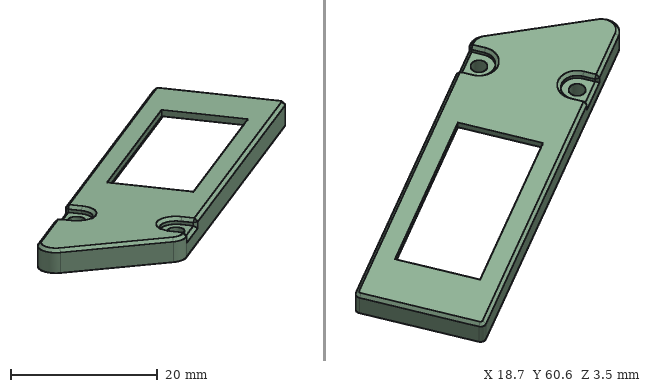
import cadquery as cq
import math

width = 18.7
length = 60.6
thickness = 3.5
slant_angle = math.radians(30)
lower_corner_radius = 2.5
upper_corner_radius = 0.8
edge_chamfer = 0.5

window_width = 12.25
window_height = 27.2
window_left = 3.3
window_top_margin = 8.05

lip_thickness = 0.95
recess_wall = 1.75

hole_diameter = 2.3
hole_inset = 2.3
hole_y = 13.45
seat_radius = 2.25
seat_depth = 0.95


def make_plate():
    """Plate with a slanted lower end and rounded corners."""
    sharp_low_y = lower_corner_radius * (1 - math.tan(slant_angle) - 1 / math.cos(slant_angle))
    sharp_right_y = sharp_low_y + width * math.tan(slant_angle)
    outline = [(0, sharp_low_y), (width, sharp_right_y), (width, length), (0, length)]
    plate = cq.Workplane("XY").polyline(outline).close().extrude(thickness)
    plate = plate.edges("|Z and (not >Y)").fillet(lower_corner_radius)
    return plate.faces(">Y").edges("|Z").fillet(upper_corner_radius)


def make_seat(hole_x, side_x):
    """U-shaped pocket running from the screw hole out to a side at side_x."""
    floor_plane = cq.Workplane("XY").workplane(offset=thickness - seat_depth)
    round_end = floor_plane.center(hole_x, hole_y).circle(seat_radius).extrude(seat_depth)
    outlet = (
        floor_plane.center((hole_x + side_x) / 2, hole_y)
        .rect(abs(hole_x - side_x), 2 * seat_radius)
        .extrude(seat_depth)
    )
    return round_end.union(outlet)


plate = make_plate()
seats = [(hole_inset, 0), (width - hole_inset, width)]
for hole_x, side_x in seats:
    plate = plate.cut(make_seat(hole_x, side_x))

clearance = 0.05
outlet_edges = cq.selectors.BoxSelector(
    (-clearance, hole_y - seat_radius - clearance, thickness - seat_depth - clearance),
    (width + clearance, hole_y + seat_radius + clearance, thickness - clearance),
)
rim = plate.faces(">Z").edges()
outlets = plate.faces("<X or >X").edges(outlet_edges)
plate = rim.add(outlets).chamfer(edge_chamfer)

for hole_x, _ in seats:
    hole = cq.Workplane("XY").center(hole_x, hole_y).circle(hole_diameter / 2).extrude(thickness)
    plate = plate.cut(hole)

window_center_x = window_left + window_width / 2
window_center_y = length - window_top_margin - window_height / 2
window_plane = cq.Workplane("XY").center(window_center_x, window_center_y)
window = window_plane.rect(window_width, window_height).extrude(thickness)

recess_width = 2 * (window_center_x - recess_wall)
recess_height = 2 * (length - recess_wall - window_center_y)
recess = window_plane.rect(recess_width, recess_height).extrude(thickness - lip_thickness)

result = plate.cut(window).cut(recess)